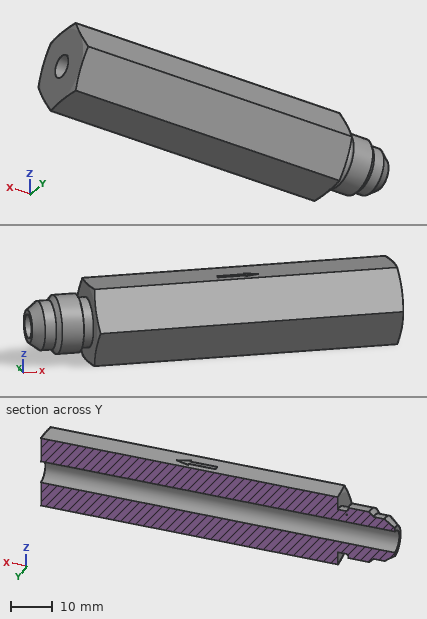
import cadquery as cq
import math

OVERALL_LENGTH = 90.42
HEX_ACROSS_FLATS = 19.05
HEX_ACROSS_CORNERS = HEX_ACROSS_FLATS / math.cos(math.radians(30))
BORE_DIAMETER = 5.8

NOSE_TIP_DIAMETER = 8.0
NOSE_DIAMETER = 11.96
FLARE_HALF_ANGLE = 37
COLLAR_DIAMETER = 14.28
NECK_DIAMETER = 12.17
NECK_FILLET_RADIUS = 0.61
COLLAR_START = 5.4
COLLAR_END = 11.95
HEX_START = 14.55

HEX_FACE_DIAMETER = 18.8
HEX_CHAMFER_ANGLE = 15

ARROW_START = 46.4
ARROW_LENGTH = 10.1
ARROW_HEAD_LENGTH = 3.3
ARROW_HEAD_WIDTH = 2.2
ARROW_SHAFT_WIDTH = 1.1
ARROW_CENTER_Y = -2.1
ARROW_DEPTH = 0.1


def make_male_end():
    """Revolved flare nose, collar and neck; the neck meets the hexagon."""
    tip_radius = NOSE_TIP_DIAMETER / 2
    nose_radius = NOSE_DIAMETER / 2
    collar_radius = COLLAR_DIAMETER / 2
    neck_radius = NECK_DIAMETER / 2
    flare_length = (nose_radius - tip_radius) / math.tan(math.radians(FLARE_HALF_ANGLE))
    collar_chamfer = collar_radius - nose_radius
    profile = (
        cq.Workplane("XY")
        .moveTo(0, 0)
        .lineTo(0, tip_radius)
        .lineTo(flare_length, nose_radius)
        .lineTo(COLLAR_START, nose_radius)
        .lineTo(COLLAR_START + collar_chamfer, collar_radius)
        .lineTo(COLLAR_END, collar_radius)
        .lineTo(COLLAR_END, neck_radius + NECK_FILLET_RADIUS)
        .radiusArc((COLLAR_END + NECK_FILLET_RADIUS, neck_radius), -NECK_FILLET_RADIUS)
        .lineTo(HEX_START, neck_radius)
        .lineTo(HEX_START, 0)
        .close()
    )
    return profile.revolve(360, (0, 0, 0), (1, 0, 0))


def make_hex_body():
    """Hexagonal bar with flats on top and bottom and both ends cone-chamfered."""
    hex_length = OVERALL_LENGTH - HEX_START
    bar = (
        cq.Workplane("YZ", origin=(HEX_START, 0, 0))
        .polygon(6, HEX_ACROSS_CORNERS)
        .extrude(hex_length)
    )
    face_radius = HEX_FACE_DIAMETER / 2
    corner_radius = HEX_ACROSS_CORNERS / 2
    chamfer_length = (corner_radius - face_radius) * math.tan(math.radians(HEX_CHAMFER_ANGLE))
    envelope = (
        cq.Workplane("XY")
        .moveTo(HEX_START, 0)
        .lineTo(HEX_START, face_radius)
        .lineTo(HEX_START + chamfer_length, corner_radius)
        .lineTo(OVERALL_LENGTH - chamfer_length, corner_radius)
        .lineTo(OVERALL_LENGTH, face_radius)
        .lineTo(OVERALL_LENGTH, 0)
        .close()
        .revolve(360, (0, 0, 0), (1, 0, 0))
    )
    return bar.intersect(envelope)


def make_flow_arrow():
    """Arrow-shaped cutter that sinks into the top flat."""
    head_base = ARROW_LENGTH - ARROW_HEAD_LENGTH
    half_shaft = ARROW_SHAFT_WIDTH / 2
    half_head = ARROW_HEAD_WIDTH / 2
    outline = [
        (0, -half_shaft),
        (head_base, -half_shaft),
        (head_base, -half_head),
        (ARROW_LENGTH, 0),
        (head_base, half_head),
        (head_base, half_shaft),
        (0, half_shaft),
    ]
    return (
        cq.Workplane("XY", origin=(ARROW_START, ARROW_CENTER_Y, HEX_ACROSS_FLATS / 2))
        .polyline(outline)
        .close()
        .extrude(-ARROW_DEPTH)
    )


def make_bore():
    """Straight passage through the whole length."""
    return cq.Workplane("YZ").circle(BORE_DIAMETER / 2).extrude(OVERALL_LENGTH)


result = make_male_end().union(make_hex_body()).cut(make_bore()).cut(make_flow_arrow())